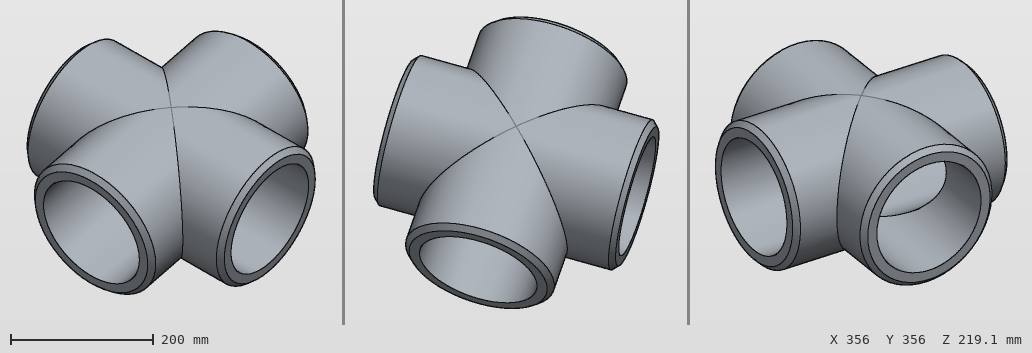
import cadquery as cq

end_to_end = 356.0
outer_diameter = 219.1
wall_thickness = 23.0
end_chamfer = 8.0

bore_diameter = outer_diameter - 2 * wall_thickness


def centred_cylinder(plane, diameter):
    """Cylinder of full pipe length, centred on the origin along the plane's normal."""
    return cq.Workplane(plane).circle(diameter / 2).extrude(end_to_end / 2, both=True)


def pipe_body(plane, end_faces):
    """Solid pipe with both outer end edges chamfered for welding."""
    return centred_cylinder(plane, outer_diameter).faces(end_faces).edges().chamfer(end_chamfer)


result = pipe_body("YZ", "|X").union(pipe_body("XZ", "|Y"))

for bore_plane in ("YZ", "XZ"):
    result = result.cut(centred_cylinder(bore_plane, bore_diameter))